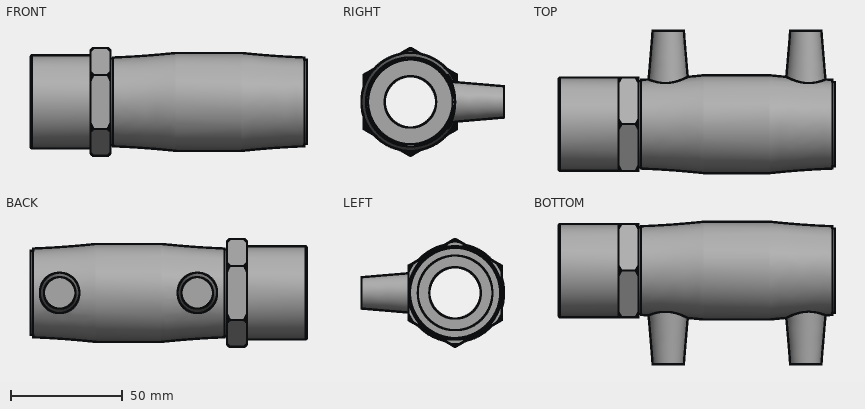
import cadquery as cq
import math

total_length = 124.0
hex_start = 26.9
hex_end = 36.0
body_start = 37.1
barrel_start = 65.2
barrel_end = 94.6
body_end = 122.8

pipe_radius = 41.9 / 2
pipe_chamfer = 0.7

hex_across_flats = 41.9
hex_corner_radius = hex_across_flats / 2 / math.cos(math.pi / 6)
hex_chamfer_length = 1.2
hex_chamfer_drop = 1.2

barrel_radius = 44.0 / 2
body_end_radius = 20.0
neck_radius = 19.5
end_step_radius = 19.0
curve_sag = 0.2

through_radius = 23.0 / 2
socket_radius = 33.5 / 2
socket_depth = hex_start

nozzle_positions = (49.2, 110.9)
nozzle_tip_y = 64.0 - barrel_radius
nozzle_root_y = 16.1
nozzle_tip_radius = 7.1
nozzle_taper = 0.085


def make_body():
    """Revolve the outer profile of the pipe and barrel about the X axis."""
    mean_radius = (body_end_radius + barrel_radius) / 2
    left_mid = ((body_start + barrel_start) / 2, mean_radius - curve_sag)
    right_mid = ((barrel_end + body_end) / 2, mean_radius - curve_sag)
    profile = (
        cq.Workplane("XY")
        .moveTo(0, 0)
        .lineTo(0, pipe_radius - pipe_chamfer)
        .lineTo(pipe_chamfer, pipe_radius)
        .lineTo(hex_end, pipe_radius)
        .lineTo(hex_end, neck_radius)
        .lineTo(body_start, neck_radius)
        .lineTo(body_start, body_end_radius)
        .threePointArc(left_mid, (barrel_start, barrel_radius))
        .lineTo(barrel_end, barrel_radius)
        .threePointArc(right_mid, (body_end, body_end_radius))
        .lineTo(body_end, end_step_radius)
        .lineTo(total_length, end_step_radius)
        .lineTo(total_length, 0)
        .close()
    )
    return profile.revolve(360, (0, 0, 0), (1, 0, 0))


def make_hex():
    """Hexagon with flats facing +/-Y and corners turned down on both faces."""
    prism = (
        cq.Workplane("YZ", origin=(hex_start, 0, 0))
        .polygon(6, 2 * hex_corner_radius)
        .extrude(hex_end - hex_start)
        .rotate((0, 0, 0), (1, 0, 0), 30)
    )
    face_radius = hex_corner_radius - hex_chamfer_drop
    envelope = (
        cq.Workplane("XY")
        .moveTo(hex_start, 0)
        .lineTo(hex_start, face_radius)
        .lineTo(hex_start + hex_chamfer_length, hex_corner_radius)
        .lineTo(hex_end - hex_chamfer_length, hex_corner_radius)
        .lineTo(hex_end, face_radius)
        .lineTo(hex_end, 0)
        .close()
        .revolve(360, (0, 0, 0), (1, 0, 0))
    )
    return prism.intersect(envelope)


def make_nozzle(x):
    """Tapered nozzle pointing along +Y, with its root buried in the body."""
    length = nozzle_tip_y - nozzle_root_y
    root_radius = nozzle_tip_radius + nozzle_taper * length
    start = cq.Vector(x, nozzle_root_y, 0)
    return cq.Solid.makeCone(root_radius, nozzle_tip_radius, length, start, cq.Vector(0, 1, 0))


def make_bore(radius, length):
    """Cylinder along X from the pipe end, used to cut the bores."""
    return cq.Workplane("YZ").circle(radius).extrude(length)


result = make_body().union(make_hex())
for nozzle_x in nozzle_positions:
    result = result.union(cq.Workplane(make_nozzle(nozzle_x)))
result = result.cut(make_bore(through_radius, total_length))
result = result.cut(make_bore(socket_radius, socket_depth))